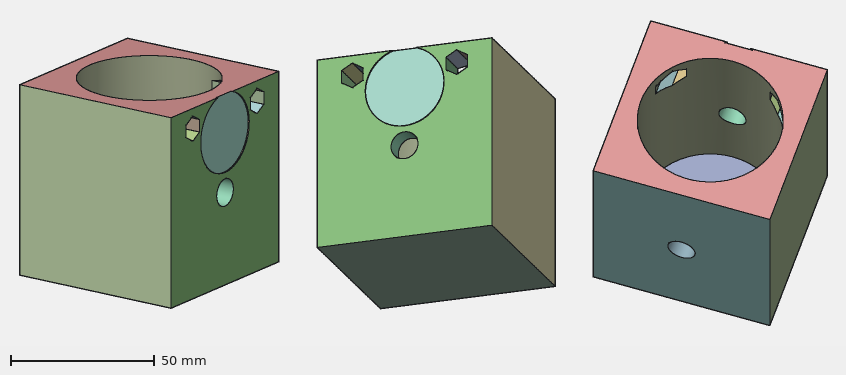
import cadquery as cq
import math

width = 65.0
height = 70.0

bore_diameter = 51.0
floor_thickness = 7.0

cross_hole_diameter = 10.0
cross_hole_height = 34.0

hex_across_flats = 8.0
hex_offset_y = 19.4
hex_depth_below_top = 7.4

recess_radius = 14.6
recess_height = 56.0
recess_depth = 0.5


def make_block():
    return cq.Workplane("XY").box(width, width, height, centered=(True, True, False))


def make_bore():
    depth = height - floor_thickness
    return cq.Workplane("XY").workplane(offset=floor_thickness).circle(bore_diameter / 2).extrude(depth)


def make_cross_hole():
    return (
        cq.Workplane("YZ", origin=(-width / 2, 0, cross_hole_height))
        .circle(cross_hole_diameter / 2)
        .extrude(width)
    )


def make_hex_passage(offset_y):
    """Hexagon with two flats parallel to the XZ plane, running from the bore to the +X face."""
    across_corners = hex_across_flats / math.cos(math.radians(30))
    return (
        cq.Workplane("YZ", origin=(0, offset_y, height - hex_depth_below_top))
        .transformed(rotate=(0, 0, 90))
        .polygon(6, across_corners)
        .extrude(width / 2)
    )


def make_side_recess():
    return (
        cq.Workplane("YZ", origin=(width / 2 - recess_depth, 0, recess_height))
        .circle(recess_radius)
        .extrude(recess_depth)
    )


result = make_block().cut(make_bore()).cut(make_cross_hole()).cut(make_side_recess())
for side in (-1, 1):
    result = result.cut(make_hex_passage(side * hex_offset_y))